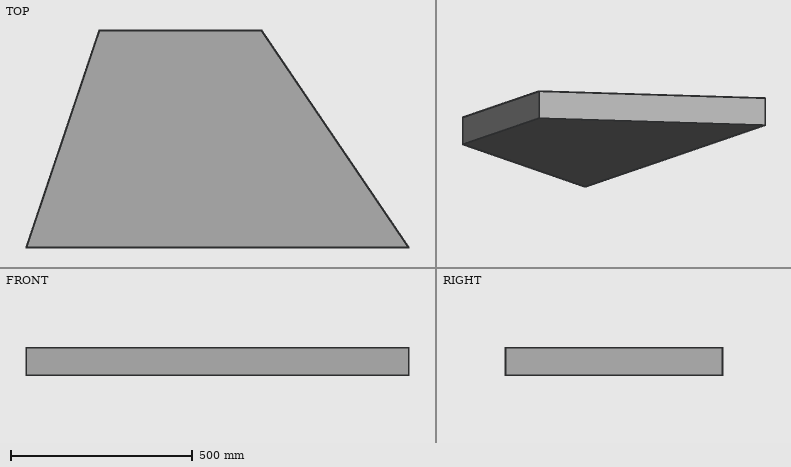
import cadquery as cq

front_length = 1056.0
back_length = 448.0
back_left_inset = 202.0
depth = 600.0
thickness = 76.0

outline = [
    (0, 0),
    (front_length, 0),
    (back_left_inset + back_length, depth),
    (back_left_inset, depth),
]

result = cq.Workplane("XY").polyline(outline).close().extrude(thickness)